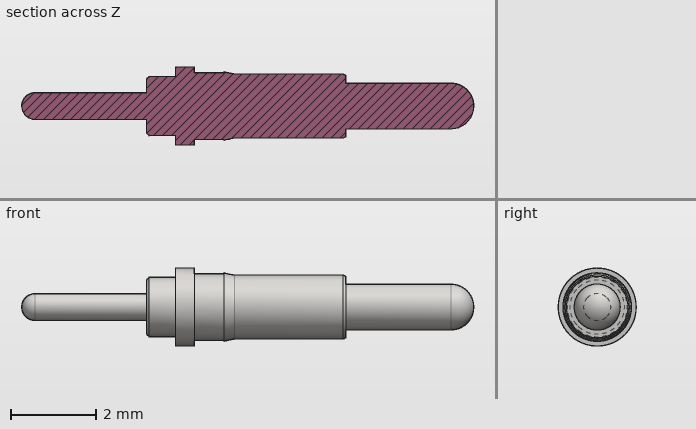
import cadquery as cq
import math

tail_radius = 0.32
collar_radius = 0.7
flange_radius = 1.83 / 2
shoulder_radius = 0.78
barb_radius = 0.8
barrel_radius = 0.75
plunger_radius = 0.54

collar_start = 2.92
flange_start = 3.6
flange_end = 4.05
barb_start = 4.73
barb_end = 4.99
barrel_end = 7.59
overall_length = 10.59

collar_chamfer = 0.06
barrel_chamfer_length = 0.06
barrel_chamfer_depth = 0.03

arc_mid = math.sqrt(0.5)
tail_arc_mid = (tail_radius * (1 - arc_mid), tail_radius * arc_mid)
plunger_dome_start = overall_length - plunger_radius
plunger_arc_mid = (
    plunger_dome_start + plunger_radius * arc_mid,
    plunger_radius * arc_mid,
)

profile = (
    cq.Workplane("XY")
    .moveTo(0, 0)
    .threePointArc(tail_arc_mid, (tail_radius, tail_radius))
    .lineTo(collar_start, tail_radius)
    .lineTo(collar_start, collar_radius - collar_chamfer)
    .lineTo(collar_start + collar_chamfer, collar_radius)
    .lineTo(flange_start, collar_radius)
    .lineTo(flange_start, flange_radius)
    .lineTo(flange_end, flange_radius)
    .lineTo(flange_end, shoulder_radius)
    .lineTo(barb_start, shoulder_radius)
    .lineTo(barb_start, barb_radius)
    .lineTo(barb_end, barrel_radius)
    .lineTo(barrel_end - barrel_chamfer_length, barrel_radius)
    .lineTo(barrel_end, barrel_radius - barrel_chamfer_depth)
    .lineTo(barrel_end, plunger_radius)
    .lineTo(plunger_dome_start, plunger_radius)
    .threePointArc(plunger_arc_mid, (overall_length, 0))
    .close()
)

result = profile.revolve(360, (0, 0, 0), (1, 0, 0))